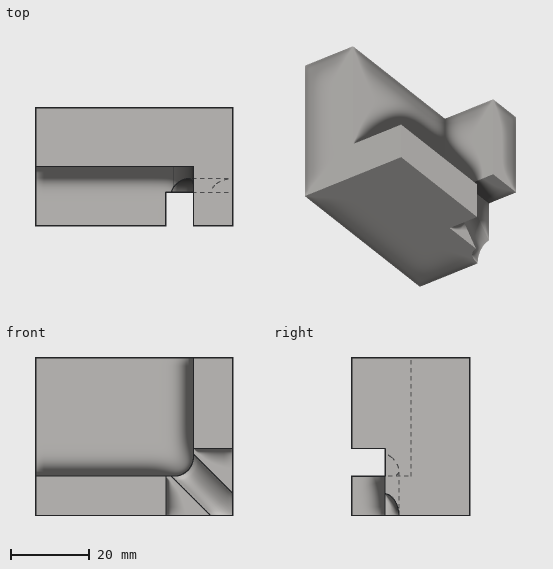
import cadquery as cq
import math

LENGTH = 50.0
DEPTH = 30.0
HEIGHT = 40.0

WALL = 10.0
POCKET_DEPTH = 15.0
POCKET_CORNER_RADIUS = 5.0

STEP_MARGIN = 7.0
STEP_DEPTH = 8.5

GROOVE_RADIUS = 4.0
GROOVE_AXIS_DEPTH = 8.0

pocket_length = LENGTH - WALL
pocket_height = HEIGHT - WALL
step_size = WALL + STEP_MARGIN


def front_box(size_x, size_z, depth, x, z):
    """Box reaching back from the front face, with its lower left corner at (x, z)."""
    return cq.Workplane("XY").box(size_x, depth, size_z, centered=False).translate((x, 0, z))


def pocket():
    cutter = front_box(pocket_length, pocket_height, POCKET_DEPTH, 0, WALL)
    return cutter.edges("|Y and >X and <Z").fillet(POCKET_CORNER_RADIUS)


def corner_step():
    return front_box(step_size, step_size, STEP_DEPTH, LENGTH - step_size, 0)


def drain_groove():
    """Cylinder from the pocket's sharp corner out through the block's corner."""
    corner_diagonal = WALL * math.sqrt(2)
    overrun = 2 * GROOVE_RADIUS
    start_offset = overrun / math.sqrt(2)
    start = cq.Vector(pocket_length - start_offset, GROOVE_AXIS_DEPTH, WALL + start_offset)
    direction = cq.Vector(1, 0, -1)
    length = corner_diagonal + 2 * overrun
    cylinder = cq.Solid.makeCylinder(GROOVE_RADIUS, length, start, direction)
    return cq.Workplane(obj=cylinder)


block = front_box(LENGTH, HEIGHT, DEPTH, 0, 0)
result = block.cut(pocket()).cut(corner_step()).cut(drain_groove())